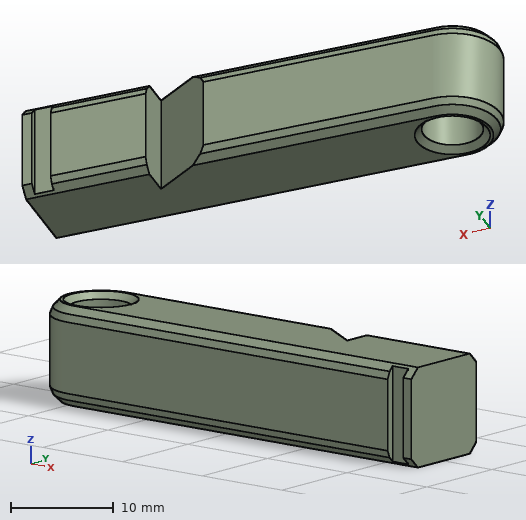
import cadquery as cq

length = 48.0
width = 10.0
height = 10.0
end_radius = width / 2

edge_chamfer = 1.0
edge_bevel = 0.45

ring_hole_diameter = 6.0
ring_hole_chamfer = 0.65

window_start = 29.05
window_end = 35.1
window_depth = 4.05

groove_start = 45.0
groove_end = 47.0
groove_depth = 0.75


def make_body():
    """Bar with chamfered edges; the extra bevel stops at the grooves."""
    handle = (
        cq.Workplane("XY")
        .moveTo(groove_start, -end_radius)
        .lineTo(end_radius, -end_radius)
        .threePointArc((0, 0), (end_radius, end_radius))
        .lineTo(groove_start, end_radius)
        .close()
        .extrude(height)
    )
    handle = handle.faces("<Z or >Z").edges("not >X").chamfer(edge_chamfer)
    handle = handle.faces("|Y").edges("|X").chamfer(edge_bevel)
    mouth = (
        cq.Workplane("XY")
        .box(length - groove_start, width, height, centered=(False, True, False))
        .translate((groove_start, 0, 0))
        .edges("|X")
        .chamfer(edge_chamfer)
    )
    return handle.union(mouth)


def ring_hole():
    """Hole cutter flared by the chamfer at both ends."""
    radius = ring_hole_diameter / 2
    mouth_radius = radius + ring_hole_chamfer
    profile = [
        (0, 0),
        (mouth_radius, 0),
        (radius, ring_hole_chamfer),
        (radius, height - ring_hole_chamfer),
        (mouth_radius, height),
        (0, height),
    ]
    hole = cq.Workplane("XZ").polyline(profile).close().revolve(360, (0, 0), (0, 1))
    return hole.translate((end_radius, 0, 0))


def sound_window():
    """Wedge with a sloped wall and a square wall, cut through the full height."""
    side = width / 2
    corners = [(window_start, side), (window_end, side), (window_end, side - window_depth)]
    return cq.Workplane("XY").polyline(corners).close().extrude(height)


def side_groove(side):
    """Full-height groove cutter; side is +1 or -1 for the +Y or -Y face."""
    middle_x = (groove_start + groove_end) / 2
    return (
        cq.Workplane("XY")
        .center(middle_x, side * width / 2)
        .rect(groove_end - groove_start, 2 * groove_depth)
        .extrude(height)
    )


result = make_body().cut(ring_hole()).cut(sound_window())
for side in (1, -1):
    result = result.cut(side_groove(side))